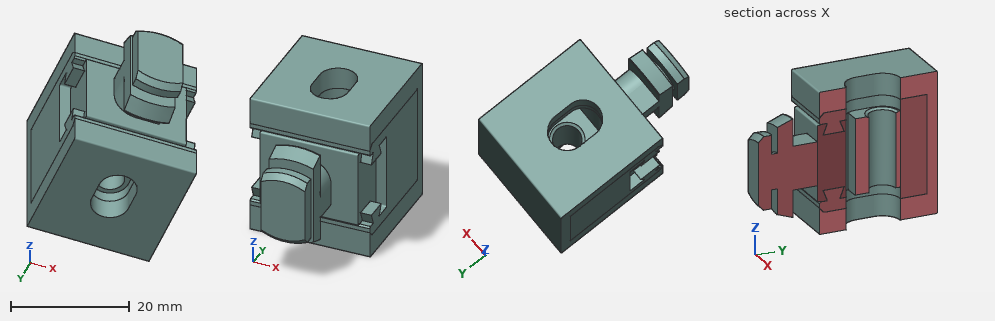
import cadquery as cq


OVERALL_LENGTH = 33.3

HOUSING_SIDE = 22.0
HOUSING_HEIGHT = 26.0
HOUSING_EDGE_RADIUS = 0.3
BACK_WALL = 2.0
LINER_HEIGHT = 18.0
LINER_DEPTH = HOUSING_SIDE - BACK_WALL
LINER_FRONT_CHAMFER = 0.93

CHANNEL_HEIGHT = 14.0
CHANNEL_DEPTH = 7.05
CHANNEL_BACK_RADIUS = 0.3
CHANNEL_MOUTH_CHAMFER = 0.3
RAIL_CENTRE_Y = 2.7
RAIL_HEIGHT = 2.0
RAIL_ROOT_WIDTH = 2.5
RAIL_TIP_WIDTH = 4.05

SLIDE_LENGTH = 18.0
SLIDE_PROTRUSION = 0.35
SLIDE_FRONT_RADIUS = 0.25

SLOT_WIDTH = 6.6
SLOT_CENTRE_SPACING = 3.4
SLOT_REAR_CENTRE_Y = 11.75
BLOCK_FRONT_Y = 6.7
BLOCK_HEIGHT = CHANNEL_HEIGHT
SCREW_HOLE_DIAMETER = 4.93
COUNTERSINK_DIAMETER = 5.95
COUNTERSINK_ANGLE = 120

BOLT_WIDTH = 8.1
NECK_LENGTH = 4.45
PLATE_THICKNESS = 2.95
PLATE_HEIGHT = 17.98
PLATE_END_RISE = 0.65
PLATE_BEVEL = 1.03
PLATE_BEVEL_DEPTH = 2.8
GROOVE_LENGTH = 1.0
GROOVE_DIAMETER = 6.6
BOLT_LENGTH = OVERALL_LENGTH - HOUSING_SIDE - SLIDE_PROTRUSION
HEAD_THICKNESS = BOLT_LENGTH - NECK_LENGTH - PLATE_THICKNESS - GROOVE_LENGTH
HEAD_HEIGHT = 13.52
HEAD_END_RISE = 0.9
HEAD_CHAMFER = 1.0


def bar(length, front_y, back_y, height):
    """Rectangular bar along X, centred on X = 0 and Z = 0."""
    depth = back_y - front_y
    return cq.Workplane("XY").box(length, depth, height).translate((0, front_y + depth / 2, 0))


def screw_slot():
    """Cutter for the vertical slot through the whole height."""
    return (
        cq.Workplane("XY", origin=(0, SLOT_REAR_CENTRE_Y - SLOT_CENTRE_SPACING / 2, -HOUSING_HEIGHT / 2))
        .slot2D(SLOT_CENTRE_SPACING + SLOT_WIDTH, SLOT_WIDTH, 90)
        .extrude(HOUSING_HEIGHT)
    )


def dovetail_rails():
    """The two rails, one on the roof and one on the floor of the channel."""
    root_z = CHANNEL_HEIGHT / 2
    tip_z = root_z - RAIL_HEIGHT
    upper = (
        cq.Workplane("YZ", origin=(-HOUSING_SIDE / 2, 0, 0))
        .moveTo(RAIL_CENTRE_Y - RAIL_ROOT_WIDTH / 2, root_z)
        .lineTo(RAIL_CENTRE_Y - RAIL_TIP_WIDTH / 2, tip_z)
        .lineTo(RAIL_CENTRE_Y + RAIL_TIP_WIDTH / 2, tip_z)
        .lineTo(RAIL_CENTRE_Y + RAIL_ROOT_WIDTH / 2, root_z)
        .close()
        .extrude(HOUSING_SIDE)
    )
    return upper.add(upper.mirror("XY")).combine()


def channel():
    """Space of the slide channel without its rails, over the full length in X."""
    return (
        bar(HOUSING_SIDE, 0, CHANNEL_DEPTH, CHANNEL_HEIGHT)
        .faces(">Y").edges("|X").fillet(CHANNEL_BACK_RADIUS)
    )


def channel_mouth():
    """Cutter for the bevels along the front edges of the channel."""
    half_height = CHANNEL_HEIGHT / 2
    flared = half_height + CHANNEL_MOUTH_CHAMFER
    return (
        cq.Workplane("YZ", origin=(-HOUSING_SIDE / 2, 0, 0))
        .polyline([(0, flared), (CHANNEL_MOUTH_CHAMFER, half_height),
                   (CHANNEL_MOUTH_CHAMFER, -half_height), (0, -flared)])
        .close()
        .extrude(HOUSING_SIDE)
    )


def liner_blank():
    """Outer shape of the liner, with bevelled front edges."""
    return (
        bar(HOUSING_SIDE, 0, LINER_DEPTH, LINER_HEIGHT)
        .faces("<Y").edges("|X").chamfer(LINER_FRONT_CHAMFER)
    )


def make_housing():
    """Block with rounded edges along X, wrapped around the liner."""
    blank = bar(HOUSING_SIDE, 0, HOUSING_SIDE, HOUSING_HEIGHT).edges("|X").fillet(HOUSING_EDGE_RADIUS)
    return blank.cut(liner_blank()).cut(screw_slot())


def make_liner():
    """Liner with the dovetail channel in its front."""
    return (
        liner_blank()
        .cut(channel())
        .cut(channel_mouth())
        .union(dovetail_rails())
        .cut(screw_slot())
    )


def make_slide():
    """Slide that fills the channel and is shorter than it along X."""
    blank = (
        bar(SLIDE_LENGTH, -SLIDE_PROTRUSION, CHANNEL_DEPTH, CHANNEL_HEIGHT)
        .faces("<Y").edges("|X").fillet(SLIDE_FRONT_RADIUS)
        .faces(">Y").edges("|X").fillet(CHANNEL_BACK_RADIUS)
    )
    return blank.cut(dovetail_rails()).cut(screw_slot())


def make_screw_block():
    """Block that fills the rear of the slot, flat at the front, with a countersunk hole."""
    slot_rear_y = SLOT_REAR_CENTRE_Y + SLOT_WIDTH / 2
    return (
        screw_slot()
        .intersect(bar(SLOT_WIDTH, BLOCK_FRONT_Y, slot_rear_y, BLOCK_HEIGHT))
        .faces(">Z").workplane(origin=(0, SLOT_REAR_CENTRE_Y, 0))
        .cskHole(SCREW_HOLE_DIAMETER, COUNTERSINK_DIAMETER, COUNTERSINK_ANGLE)
    )


def bolt_section(back_y):
    """Workplane on the bolt axis whose extrusions run outwards along -Y."""
    return cq.Workplane("XZ", origin=(0, back_y, 0))


def bevelled_disc(back_y, radius, thickness, bevel, bevel_depth):
    """Disc about the bolt axis whose rim is bevelled next to its outer face."""
    front_radius = radius - bevel
    straight_depth = thickness - bevel_depth
    profile = (
        cq.Workplane("XY", origin=(0, back_y, 0))
        .lineTo(radius, 0)
        .lineTo(radius, -straight_depth)
        .lineTo(front_radius, -thickness)
        .lineTo(0, -thickness)
        .close()
    )
    return profile.revolve(360, (0, 0, 0), (0, 1, 0))


def arched_plate(back_y, height, end_rise, thickness, bevel, bevel_depth):
    """Plate of the bolt width with two arched ends, bevelled next to the outer face."""
    end_radius = ((BOLT_WIDTH / 2) ** 2 + end_rise ** 2) / (2 * end_rise)
    centre_drop = end_radius - height / 2
    disc = bevelled_disc(back_y, end_radius, thickness, bevel, bevel_depth)
    upper_arch = disc.translate((0, 0, -centre_drop))
    lower_arch = disc.translate((0, 0, centre_drop))
    strip = bar(BOLT_WIDTH, back_y - thickness, back_y, height)
    return strip.intersect(upper_arch).intersect(lower_arch)


def bolt_neck(back_y):
    """Square neck with two opposite corners rounded to its half width."""
    half = BOLT_WIDTH / 2
    return (
        bolt_section(back_y)
        .moveTo(-half, half)
        .lineTo(0, half)
        .radiusArc((half, 0), half)
        .lineTo(half, -half)
        .lineTo(0, -half)
        .radiusArc((-half, 0), half)
        .close()
        .extrude(NECK_LENGTH)
    )


def make_bolt():
    """Bolt made of neck, bevelled plate, round groove and head in one piece."""
    neck_back_y = -SLIDE_PROTRUSION
    plate_back_y = neck_back_y - NECK_LENGTH
    groove_back_y = plate_back_y - PLATE_THICKNESS
    head_back_y = groove_back_y - GROOVE_LENGTH
    plate = arched_plate(
        plate_back_y, PLATE_HEIGHT, PLATE_END_RISE, PLATE_THICKNESS, PLATE_BEVEL, PLATE_BEVEL_DEPTH
    )
    groove_core = bolt_section(groove_back_y).circle(GROOVE_DIAMETER / 2).extrude(GROOVE_LENGTH)
    head = arched_plate(
        head_back_y, HEAD_HEIGHT, HEAD_END_RISE, HEAD_THICKNESS, HEAD_CHAMFER, HEAD_CHAMFER
    )
    return bolt_neck(neck_back_y).union(plate).union(groove_core).union(head)


housing = make_housing()
liner = make_liner()
slide = make_slide()
screw_block = make_screw_block()
bolt = make_bolt()

result = cq.Compound.makeCompound([
    housing.val(), liner.val(), slide.val(), screw_block.val(), bolt.val(),
])